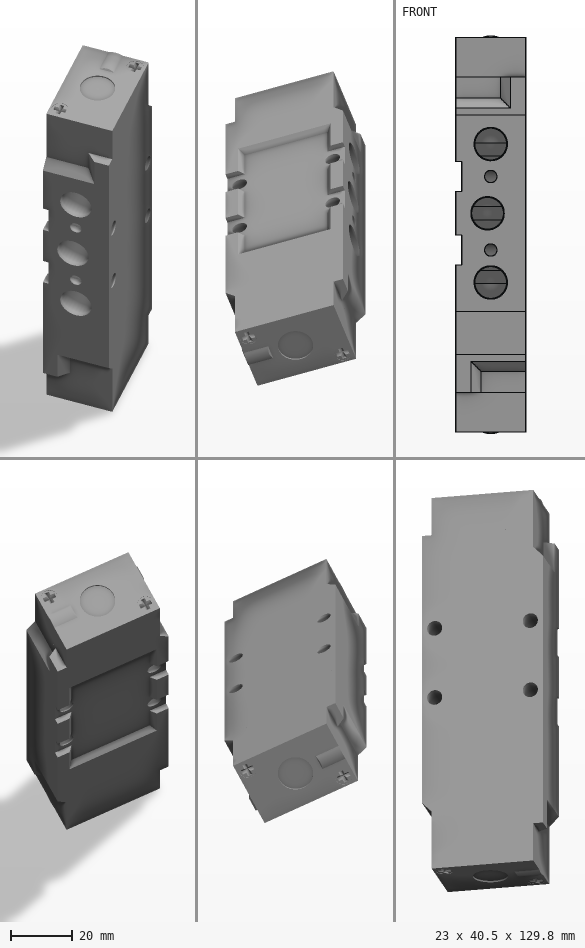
import cadquery as cq

WIDTH = 23.0
DEPTH = 40.5
LENGTH = 129.8
BODY_HEIGHT = 64.0
SPACER_HEIGHT = 14.0
BLOCK_HEIGHT = 12.5
RIDGE_HEIGHT = 0.5

STACK_HALF = (BODY_HEIGHT + SPACER_HEIGHT) / 2
BLOCK_TOP = STACK_HALF + BLOCK_HEIGHT
CAP_TOP = LENGTH / 2 - RIDGE_HEIGHT
CAP_HEIGHT = CAP_TOP - BLOCK_TOP
BODY_CENTER_Z = STACK_HALF - BODY_HEIGHT / 2
SPACER_CENTER_Z = SPACER_HEIGHT / 2 - STACK_HALF

MOUNT_HOLE_DIAMETER = 5.0
MOUNT_HOLE_PITCH_Y = 32.0
MOUNT_HOLE_PITCH_Z = 24.0
SIDE_HOLE_DIAMETER = 4.0
NOTCH_HEIGHT = 9.7
RECESS_DEPTH = 2.0
RECESS_MOUTH = (31.8, 58.2)
RECESS_FLOOR = (28.5, 54.5)

PORT_MOUTH_DIAMETER = 10.9
PORT_FLOOR_DIAMETER = 10.4
PORT_DEPTH = 13.0
PORT_PITCH = 22.6
MIDDLE_PORT_X = -1.0
SLOT_PITCH = 20.8
SLOT_HEIGHT = 4.3
SLOT_DEPTH = 1.3

POCKET_DEPTH = 3.2
FRONT_LEDGE = (5.0, 8.3)
BACK_LEDGE = (6.1, 8.0)
POCKET_STEP = 2.3

CAP_DEPTH = DEPTH - 2 * POCKET_DEPTH
BUTTON_DIAMETER = 11.5
BUTTON_RECESS = 0.5
SCREW_DIAMETER = 5.6
SCREW_RECESS = 0.1
SCREW_X = 8.0
SCREW_Y = 13.5
CROSS_SPAN = 4.2
CROSS_WIDTH = 1.5
CROSS_DEPTH = 1.2
RIDGE_WIDTH = 5.0
RIDGE_LENGTH = 8.5


def make_gasket_recess():
    """Tapered rectangular recess, opening at the -X face and narrowing inward."""
    return (
        cq.Workplane("YZ", origin=(-WIDTH / 2, 0, BODY_CENTER_Z))
        .rect(*RECESS_MOUTH)
        .workplane(offset=RECESS_DEPTH)
        .rect(*RECESS_FLOOR)
        .loft(combine=True)
    )


def make_port(x, z, slot_z):
    """Tapered blind bore from the -Y face with a horizontal slot across its floor."""
    bore = (
        cq.Workplane("XZ", origin=(x, -DEPTH / 2, z))
        .circle(PORT_MOUTH_DIAMETER / 2)
        .workplane(offset=-PORT_DEPTH)
        .circle(PORT_FLOOR_DIAMETER / 2)
        .loft(combine=True)
    )
    slot_floor = -DEPTH / 2 + PORT_DEPTH + SLOT_DEPTH
    deep_bore = (
        cq.Workplane("XZ", origin=(x, slot_floor, z))
        .circle(PORT_FLOOR_DIAMETER / 2)
        .extrude(SLOT_DEPTH)
    )
    slot_band = (
        cq.Workplane("XZ", origin=(x, slot_floor, slot_z))
        .rect(2 * PORT_FLOOR_DIAMETER, SLOT_HEIGHT)
        .extrude(SLOT_DEPTH)
    )
    return bore.union(deep_bore.intersect(slot_band))


def make_valve_body():
    body = cq.Workplane("XY", origin=(0, 0, BODY_CENTER_Z)).box(WIDTH, DEPTH, BODY_HEIGHT)
    body = body.cut(make_gasket_recess())

    for side in (-1, 1):
        level = BODY_CENTER_Z + side * MOUNT_HOLE_PITCH_Z / 2
        notch = cq.Workplane("XY", origin=(-WIDTH / 2, 0, level)).box(
            2 * RECESS_DEPTH, DEPTH, NOTCH_HEIGHT
        )
        mount_holes = (
            cq.Workplane("YZ", origin=(-WIDTH / 2, 0, level))
            .pushPoints([(-MOUNT_HOLE_PITCH_Y / 2, 0), (MOUNT_HOLE_PITCH_Y / 2, 0)])
            .circle(MOUNT_HOLE_DIAMETER / 2)
            .extrude(WIDTH)
        )
        side_hole = (
            cq.Workplane("XZ", origin=(0, -DEPTH / 2, level))
            .circle(SIDE_HOLE_DIAMETER / 2)
            .extrude(MOUNT_HOLE_PITCH_Y / 2 - DEPTH / 2)
        )
        body = body.cut(notch).cut(mount_holes).cut(side_hole)

    for row in (-1, 0, 1):
        port_x = MIDDLE_PORT_X if row == 0 else 0
        port_z = BODY_CENTER_Z + row * PORT_PITCH
        slot_z = BODY_CENTER_Z + row * SLOT_PITCH
        body = body.cut(make_port(port_x, port_z, slot_z))
    return body


def make_spacer():
    return cq.Workplane("XY", origin=(0, 0, SPACER_CENTER_Z)).box(WIDTH, DEPTH, SPACER_HEIGHT)


def make_corner_pocket(ledge):
    """Pocket on the -Y side, open to the top and to -X, with a sloping bottom and end wall."""
    outer_ledge, inner_ledge = ledge
    mouth_z = STACK_HALF + POCKET_STEP
    profile = [
        (-DEPTH / 2, mouth_z),
        (-CAP_DEPTH / 2, mouth_z + POCKET_DEPTH),
        (-CAP_DEPTH / 2, BLOCK_TOP),
        (-DEPTH / 2, BLOCK_TOP),
    ]
    plan = [
        (-WIDTH / 2, -DEPTH / 2),
        (WIDTH / 2 - outer_ledge, -DEPTH / 2),
        (WIDTH / 2 - inner_ledge, -CAP_DEPTH / 2),
        (-WIDTH / 2, -CAP_DEPTH / 2),
    ]
    side_shape = (
        cq.Workplane("YZ", origin=(-WIDTH / 2, 0, 0)).polyline(profile).close().extrude(WIDTH)
    )
    plan_shape = (
        cq.Workplane("XY", origin=(0, 0, STACK_HALF)).polyline(plan).close().extrude(BLOCK_HEIGHT)
    )
    return side_shape.intersect(plan_shape)


def make_end_block():
    """Upper end block, with two corner pockets placed diagonally."""
    block = cq.Workplane("XY", origin=(0, 0, STACK_HALF + BLOCK_HEIGHT / 2)).box(
        WIDTH, DEPTH, BLOCK_HEIGHT
    )
    front_pocket = make_corner_pocket(FRONT_LEDGE)
    back_pocket = make_corner_pocket(BACK_LEDGE).rotate((0, 0, 0), (0, 0, 1), 180)
    return block.cut(front_pocket).cut(back_pocket)


def make_screw_recess(x, y):
    """Shallow round recess with a cross of two V-grooves in its floor."""
    floor = CAP_TOP - SCREW_RECESS
    recess = (
        cq.Workplane("XY", origin=(x, y, floor)).circle(SCREW_DIAMETER / 2).extrude(SCREW_RECESS)
    )
    groove = (
        cq.Workplane("XZ", origin=(x, y + CROSS_SPAN / 2, floor))
        .moveTo(-CROSS_WIDTH / 2, 0)
        .lineTo(0, -CROSS_DEPTH)
        .lineTo(CROSS_WIDTH / 2, 0)
        .close()
        .extrude(CROSS_SPAN)
    )
    crossing_groove = groove.rotate((x, y, 0), (x, y, 1), 90)
    return recess.union(groove).union(crossing_groove)


def make_ridge():
    """Low rounded ridge running in from the +Y edge, with its inner end sloped at 45 degrees."""
    outer_y = CAP_DEPTH / 2
    inner_y = outer_y - RIDGE_LENGTH
    rounded = (
        cq.Workplane("XZ", origin=(0, outer_y, CAP_TOP))
        .moveTo(-RIDGE_WIDTH / 2, 0)
        .threePointArc((0, RIDGE_HEIGHT), (RIDGE_WIDTH / 2, 0))
        .close()
        .extrude(RIDGE_LENGTH)
    )
    sloped = (
        cq.Workplane("YZ", origin=(-RIDGE_WIDTH / 2, 0, CAP_TOP))
        .moveTo(inner_y, 0)
        .lineTo(outer_y, 0)
        .lineTo(outer_y, RIDGE_HEIGHT)
        .lineTo(inner_y + RIDGE_HEIGHT, RIDGE_HEIGHT)
        .close()
        .extrude(RIDGE_WIDTH)
    )
    return rounded.intersect(sloped)


def make_end_cap():
    """Upper end cap, with its ridge, button recess and two screw heads."""
    cap = cq.Workplane("XY", origin=(0, 0, BLOCK_TOP + CAP_HEIGHT / 2)).box(
        WIDTH, CAP_DEPTH, CAP_HEIGHT
    )
    button = (
        cq.Workplane("XY", origin=(0, 0, CAP_TOP))
        .circle(BUTTON_DIAMETER / 2)
        .extrude(-BUTTON_RECESS)
    )
    cap = cap.union(make_ridge()).cut(button)
    for side in (-1, 1):
        cap = cap.cut(make_screw_recess(side * SCREW_X, side * SCREW_Y))
    return cap


valve_body = make_valve_body()
spacer = make_spacer()

end_bodies = []
for turn in (0, 180):
    for end_body in (make_end_block(), make_end_cap()):
        end_bodies.append(end_body.rotate((0, 0, 0), (0, 1, 0), turn).val())

result = cq.Compound.makeCompound([valve_body.val(), spacer.val(), *end_bodies])